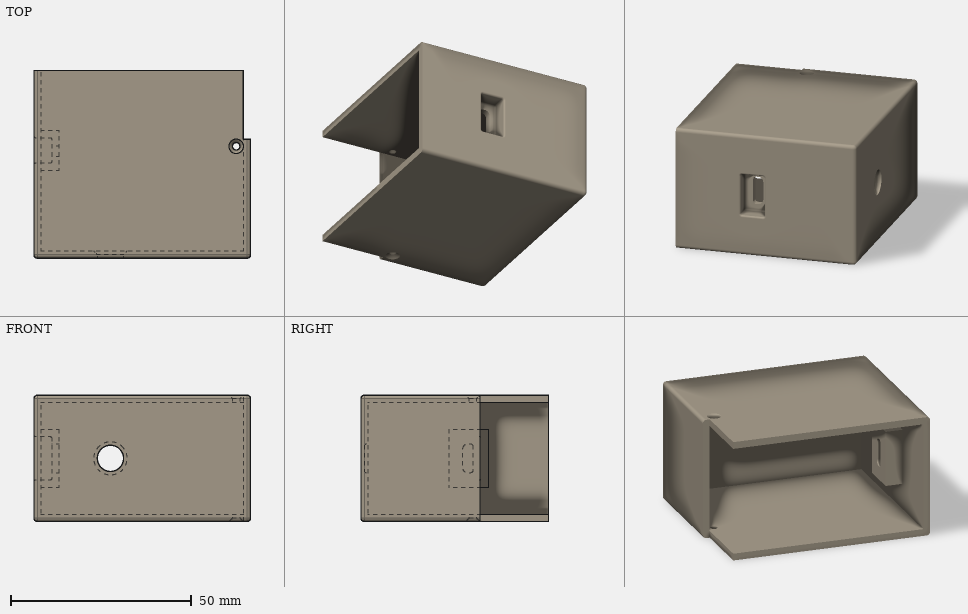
import cadquery as cq

LENGTH = 60.0
DEPTH = 52.0
HEIGHT = 35.0
WALL = 2.0
EDGE_RADIUS = 1.0
MID_HEIGHT = HEIGHT / 2

SIDE_OPENING_START = 33.0

WINDOW_X = 21.2
WINDOW_DIAMETER = 7.2
WINDOW_CHAMFER = 1.0

SCREW_X = LENGTH - 2 * WALL
SCREW_Y = SIDE_OPENING_START - WALL
SCREW_DIAMETER = 2.0
SCREW_HEAD_DIAMETER = 4.0
COUNTERSINK_ANGLE = 90.0

RECESS_Y = 29.85
RECESS_WIDTH = 7.0
RECESS_HEIGHT = 12.0
RECESS_DEPTH = 5.0
RECESS_RADIUS = 0.5
BLOCK_WIDTH = RECESS_WIDTH + 2 * WALL
BLOCK_HEIGHT = RECESS_HEIGHT + 2 * WALL
BLOCK_DEPTH = RECESS_DEPTH + WALL

SLOT_Y = 29.65
SLOT_WIDTH = 2.9
SLOT_HEIGHT = 8.0
SLOT_FRONT_RADIUS = 1.4
SLOT_REAR_RADIUS = 0.8


def box_on_side(x_start, x_size, y_center, y_size, z_size):
    """Box starting at x_start and running along +X, centred at mid height."""
    return (
        cq.Workplane("YZ", origin=(x_start, y_center, MID_HEIGHT))
        .rect(y_size, z_size)
        .extrude(x_size)
    )


def make_shell():
    """Rounded box, square at the rear end, hollowed out from that end."""
    outer = cq.Workplane("XY").box(LENGTH, DEPTH, HEIGHT, centered=False)
    outer = outer.edges("not >Y").fillet(EDGE_RADIUS)
    cavity = (
        cq.Workplane("XY", origin=(WALL, WALL, WALL))
        .box(LENGTH - 2 * WALL, DEPTH - WALL, HEIGHT - 2 * WALL, centered=False)
    )
    return outer.cut(cavity)


def make_side_opening():
    """Full-height cut that removes the rear part of the +X wall."""
    return (
        cq.Workplane("XY", origin=(LENGTH - WALL, SIDE_OPENING_START, 0))
        .box(WALL, DEPTH - SIDE_OPENING_START, HEIGHT, centered=False)
    )


def make_window():
    """Cutter for the window: a cylinder that widens into a cone at the inner face."""
    radius = WINDOW_DIAMETER / 2
    bore = (
        cq.Workplane("XZ", origin=(WINDOW_X, WALL, MID_HEIGHT))
        .circle(radius)
        .extrude(WALL)
    )
    cone = (
        cq.Workplane("XZ", origin=(WINDOW_X, WALL, MID_HEIGHT))
        .circle(radius + WINDOW_CHAMFER)
        .workplane(offset=WINDOW_CHAMFER)
        .circle(radius)
        .loft(combine=True)
    )
    return bore.union(cone)


def add_screw_hole(body, face):
    """Drill one countersunk hole through the roof or floor from its outer face."""
    return (
        body.faces(face)
        .workplane(origin=(SCREW_X, SCREW_Y, 0))
        .cskHole(SCREW_DIAMETER, SCREW_HEAD_DIAMETER, COUNTERSINK_ANGLE, depth=WALL)
    )


def make_recess():
    """Pocket with rounded corners and a rounded floor, open at the -X face."""
    pocket = box_on_side(0, RECESS_DEPTH, RECESS_Y, RECESS_WIDTH, RECESS_HEIGHT)
    return pocket.edges("not <X").fillet(RECESS_RADIUS)


def round_recess_mouth(body):
    """Round the rim where the recess meets the outer -X face."""
    rim = cq.selectors.BoxSelector(
        (-WALL, RECESS_Y - RECESS_WIDTH, MID_HEIGHT - RECESS_HEIGHT),
        (WALL, RECESS_Y + RECESS_WIDTH, MID_HEIGHT + RECESS_HEIGHT),
    )
    return body.faces("<X").edges(rim).fillet(RECESS_RADIUS)


def make_slot():
    """D-like connector slot with larger roundings towards the front."""
    slot = box_on_side(RECESS_DEPTH, WALL, SLOT_Y, SLOT_WIDTH, SLOT_HEIGHT)
    slot = slot.edges("|X and <Y").fillet(SLOT_FRONT_RADIUS)
    return slot.edges("|X and >Y").fillet(SLOT_REAR_RADIUS)


connector_block = box_on_side(0, BLOCK_DEPTH, RECESS_Y, BLOCK_WIDTH, BLOCK_HEIGHT)

result = make_shell()
result = result.union(connector_block)
result = result.cut(make_recess())
result = round_recess_mouth(result)
result = result.cut(make_slot())
result = result.cut(make_window())
result = result.cut(make_side_opening())
for outer_face in (">Z", "<Z"):
    result = add_screw_hole(result, outer_face)